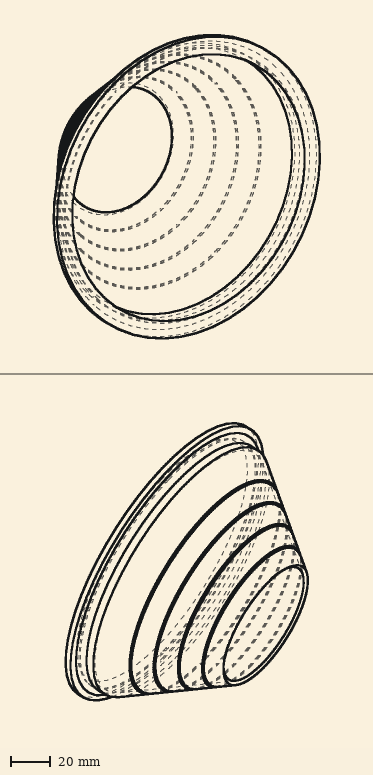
import cadquery as cq
import math

total_length = 66.2
cone_length = 54.0
barb_start = 58.2
barb_end = 62.2
flange_thickness = 3.2

tip_radius = 35.0
collar_radius = 73.0
barb_radius = 76.5
flange_radius = 80.0

wall = 2.2

groove_count = 4
first_groove_x = 8.5
last_groove_x = 38.5
groove_width = 1.0
groove_depth = 0.5

groove_pitch = (last_groove_x - first_groove_x) / (groove_count - 1)
flange_start = total_length - flange_thickness
cone_slope = (collar_radius - tip_radius) / cone_length
cone_angle = math.atan(cone_slope)


def cone_radius(x):
    """Outer radius of the cone at station x."""
    return tip_radius + cone_slope * x


def revolve_about_x(points):
    """Solid of revolution about the X axis from (x, radius) points."""
    return cq.Workplane("XZ").polyline(points).close().revolve(360, (0, 0, 0), (1, 0, 0))


def make_shell():
    """Hollow reducer: cone, collar, barb and end flange."""
    bore_radius = collar_radius - wall
    rim_inner_x = wall * math.sin(cone_angle)
    rim_inner_radius = tip_radius - wall * math.cos(cone_angle)
    bore_start = rim_inner_x + (bore_radius - rim_inner_radius) / cone_slope
    return revolve_about_x([
        (0, tip_radius),
        (cone_length, collar_radius),
        (barb_start, collar_radius),
        (barb_end, barb_radius),
        (barb_end, collar_radius),
        (flange_start, collar_radius),
        (flange_start, flange_radius),
        (total_length, flange_radius),
        (total_length, bore_radius),
        (bore_start, bore_radius),
        (rim_inner_x, rim_inner_radius),
    ])


def make_groove(center_x):
    """Ring that cuts one shallow groove, its walls square to the cone surface."""

    def corner(along, outward):
        """Point offset along the slope and square to it from the groove centre."""
        return (
            center_x + along * math.cos(cone_angle) - outward * math.sin(cone_angle),
            cone_radius(center_x) + along * math.sin(cone_angle) + outward * math.cos(cone_angle),
        )

    half_width = groove_width / 2
    return revolve_about_x([
        corner(-half_width, -groove_depth),
        corner(half_width, -groove_depth),
        corner(half_width, groove_depth),
        corner(-half_width, groove_depth),
    ])


result = make_shell()
for index in range(groove_count):
    result = result.cut(make_groove(first_groove_x + index * groove_pitch))

result = result.translate((-total_length / 2, 0, 0))